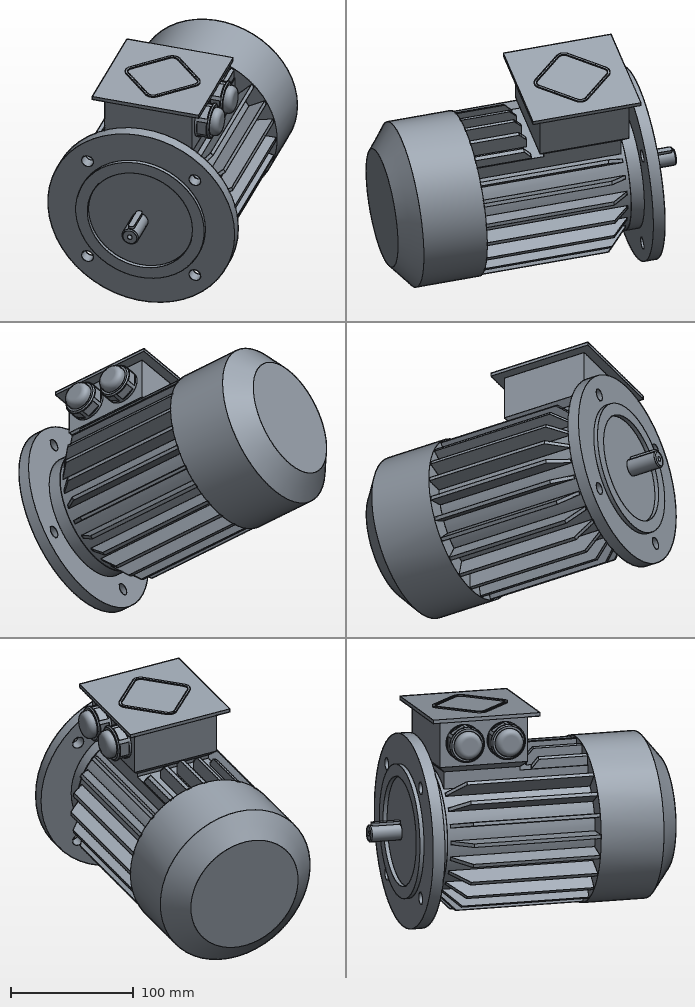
import cadquery as cq
import math


flange_dia = 160
flange_thickness = 10
spigot_dia = 110
spigot_height = 3.5
recess_dia = 90
recess_depth = spigot_height
bolt_circle_dia = 130
bolt_hole_dia = 10
bolt_hole_count = 4
first_bolt_angle = 45
neck_dia = 105
neck_end_y = 21

core_dia = 104
fin_start_y = 24
fin_tip_dia = 135
fin_thickness = 3
fin_step_angle = 15
last_side_fin_angle = 45
fin_chamfer = 15
top_fin_pitch = 15.1
top_fin_start_y = 99.5
top_fin_chamfer = 6
top_fins_per_side = 2

cover_dia = 137
cover_end_dia = 98
cover_start_y = 147
cover_cone_y = 200.5
cover_end_y = 217

box_center_y = 56.5
box_size = 75
box_bevel = 5
box_top_z = 99
pedestal_size = box_size - 2 * box_bevel
pedestal_top_z = 55
lid_size = 91
lid_thickness = 3
lid_top_z = box_top_z + lid_thickness
badge_size = 49
badge_corner_radius = 7
badge_height = 1
badge_rim_width = 2

gland_spacing = 35
gland_z = 80
gland_collar_dia = 29.5
gland_collar_end_x = 49.5
gland_collar_chamfer = 1.2
gland_flat_width = 27
gland_flat_start_x = 39.5
gland_flat_end_x = 47.6
gland_cap_dia = 23.26
gland_cap_end_x = 56.4
gland_cap_fillet = 4.7

shaft_dia = 14
shaft_end_y = -30
shaft_start_y = -spigot_height
shaft_chamfer = 1
center_hole_dia = 4.13
center_hole_angle = 60
key_width = 5
key_height = 5
key_length = 25
key_top_z = 9
key_end_gap = 2


def cylinder_y(diameter, start_y, end_y):
    """Cylinder on the motor axis from start_y to end_y."""
    return cq.Workplane("XZ", origin=(0, start_y, 0)).circle(diameter / 2).extrude(start_y - end_y)


def cylinder_x(diameter, start_x, end_x):
    """Cylinder along X from start_x to end_x."""
    return cq.Workplane("YZ", origin=(start_x, 0, 0)).circle(diameter / 2).extrude(end_x - start_x)


def block(width, depth, center_y, bottom_z, top_z):
    """Upright block centred on X = 0."""
    return cq.Workplane("XY", origin=(0, center_y, bottom_z)).rect(width, depth).extrude(top_z - bottom_z)


def fin_envelope(start_y, chamfer):
    """Round space that holds the fins, with their front chamfer."""
    return cylinder_y(fin_tip_dia, start_y, cover_start_y).faces("<Y").chamfer(chamfer)


def make_side_fins():
    """Radial fins around the sides and bottom of the frame."""
    fins = cq.Workplane()
    side_sweep = 180 + 2 * last_side_fin_angle
    fin_length = cover_start_y - fin_start_y
    blank = cq.Workplane("XY", origin=(0, fin_start_y, 0))
    blank = blank.box(fin_tip_dia / 2, fin_length, fin_thickness, centered=(False, False, True))
    for i in range(side_sweep // fin_step_angle + 1):
        angle = i * fin_step_angle - last_side_fin_angle
        fins = fins.add(blank.rotate((0, 0, 0), (0, 1, 0), angle))
    return fins.combine().intersect(fin_envelope(fin_start_y, fin_chamfer))


def make_top_fins():
    """Upright parallel fins between the terminal box and the fan cover."""
    fins = cq.Workplane()
    fin_length = cover_start_y - top_fin_start_y
    fin_center_y = top_fin_start_y + fin_length / 2
    for i in range(-top_fins_per_side, top_fins_per_side + 1):
        fin = block(fin_thickness, fin_length, fin_center_y, 0, fin_tip_dia / 2)
        fins = fins.add(fin.translate((i * top_fin_pitch, 0, 0)))
    return fins.combine().intersect(fin_envelope(top_fin_start_y, top_fin_chamfer))


def make_fan_cover():
    """Solid cover around the rear of the fins, tapering to its end face."""
    profile = [
        (0, cover_start_y),
        (cover_dia / 2, cover_start_y),
        (cover_dia / 2, cover_cone_y),
        (cover_end_dia / 2, cover_end_y),
        (0, cover_end_y),
    ]
    return cq.Workplane("XY").polyline(profile).close().revolve(360, (0, 0, 0), (0, 1, 0))


def make_flange():
    """Round flange with spigot, shallow recess, bolt holes and the neck behind it."""
    flange = cylinder_y(flange_dia, 0, flange_thickness)
    flange = flange.union(cylinder_y(spigot_dia, -spigot_height, 0))
    flange = flange.union(cylinder_y(neck_dia, flange_thickness, neck_end_y))
    flange = flange.cut(cylinder_y(recess_dia, -spigot_height, recess_depth - spigot_height))
    holes = (
        cq.Workplane("XZ")
        .polarArray(bolt_circle_dia / 2, first_bolt_angle, 360, bolt_hole_count)
        .circle(bolt_hole_dia / 2)
        .extrude(-flange_thickness)
    )
    return flange.cut(holes)


def make_terminal_box():
    """Square box on a narrower pedestal, with an overhanging lid."""
    bevel_bottom = cq.Workplane("XY", origin=(0, box_center_y, pedestal_top_z))
    bevel = bevel_bottom.rect(pedestal_size, pedestal_size).workplane(offset=box_bevel)
    bevel = bevel.rect(box_size, box_size).loft(ruled=True)
    box = block(pedestal_size, pedestal_size, box_center_y, 0, pedestal_top_z)
    box = box.union(bevel)
    box = box.union(block(box_size, box_size, box_center_y, pedestal_top_z + box_bevel, box_top_z))
    box = box.union(block(lid_size, lid_size, box_center_y, box_top_z, lid_top_z))
    return box.union(make_badge())


def make_badge():
    """Raised rounded diamond rim on the lid."""
    top = cq.Workplane("XY", origin=(0, box_center_y, lid_top_z))
    badge = top.rect(badge_size, badge_size).extrude(badge_height)
    badge = badge.edges("|Z").fillet(badge_corner_radius)
    inner_size = badge_size - 2 * badge_rim_width
    inside = top.rect(inner_size, inner_size).extrude(badge_height)
    inside = inside.edges("|Z").fillet(badge_corner_radius - badge_rim_width)
    return badge.cut(inside).rotate((0, box_center_y, 0), (0, box_center_y, 1), 45)


def make_gland(center_y):
    """Cable gland: round collar with six wrench flats and a rounded cap."""
    wall_x = box_size / 2
    collar = cylinder_x(gland_collar_dia, wall_x, gland_collar_end_x)
    collar = collar.faces(">X").chamfer(gland_collar_chamfer)
    hexagon = cq.Workplane("YZ", origin=(gland_flat_start_x, 0, 0))
    hexagon = hexagon.polygon(6, gland_flat_width, circumscribed=True)
    hexagon = hexagon.extrude(gland_flat_end_x - gland_flat_start_x)
    flats = cylinder_x(gland_collar_dia, gland_flat_start_x, gland_flat_end_x).cut(hexagon)
    cap = cylinder_x(gland_cap_dia, gland_collar_end_x, gland_cap_end_x)
    cap = cap.faces(">X").edges().fillet(gland_cap_fillet)
    return collar.cut(flats).union(cap).translate((0, center_y, gland_z))


def make_housing():
    """Flange, finned frame, fan cover, terminal box and glands as one solid."""
    housing = make_flange().union(cylinder_y(core_dia, neck_end_y, cover_start_y))
    housing = housing.union(make_side_fins())
    saddle_length = cover_start_y - box_center_y
    saddle_y = box_center_y + saddle_length / 2
    housing = housing.union(block(pedestal_size, saddle_length, saddle_y, 0, core_dia / 2))
    housing = housing.union(make_top_fins())
    housing = housing.union(make_fan_cover())
    housing = housing.union(make_terminal_box())
    for side in (-1, 1):
        housing = housing.union(make_gland(box_center_y + side * gland_spacing / 2))
    return housing


def make_shaft():
    """Shaft end with its conical centre hole and a round-ended key on top."""
    shaft = cylinder_y(shaft_dia, shaft_end_y, shaft_start_y)
    shaft = shaft.faces("<Y").chamfer(shaft_chamfer)
    hole_depth = center_hole_dia / 2 / math.tan(math.radians(center_hole_angle / 2))
    hole = cq.Solid.makeCone(
        center_hole_dia / 2, 0, hole_depth, cq.Vector(0, shaft_end_y, 0), cq.Vector(0, 1, 0)
    )
    shaft = shaft.cut(cq.Workplane(hole))
    key_center_y = shaft_end_y + key_end_gap + key_length / 2
    key = cq.Workplane("XY", origin=(0, key_center_y, key_top_z - key_height))
    key = key.slot2D(key_length, key_width, 90).extrude(key_height)
    return shaft.union(key)


housing = make_housing()
shaft = make_shaft()

result = cq.Compound.makeCompound([housing.val(), shaft.val()])